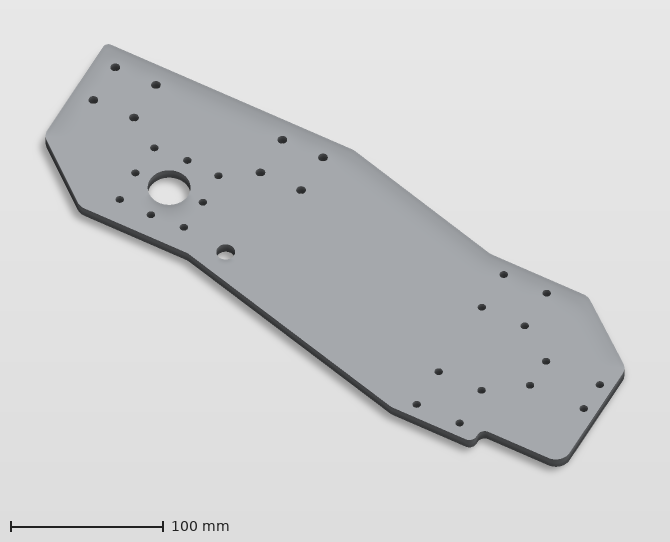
import cadquery as cq

length = 425.0
width = 172.0
thickness = 8.0

left_end_bottom = -125.5
left_chamfer_x = 48.0
left_chamfer_y = -85.5
upper_slope_start = 184.0
upper_slope_end = 302.5
lower_slope_start = 128.5
lower_slope_end = 304.7
right_end_top = -32.0
right_chamfer_x = 375.3
right_chamfer_y = -72.0
step_x = 365.0
step_y = -160.0

corner_radius = 10.0
step_radius = 5.0
top_left_radius = 4.0

mount_diameter = 6.5
small_diameter = 5.5
bore_diameter = 28.0
guide_diameter = 12.5

edge_margin = 15.0
hole_pitch = 30.0
second_mount_x = 139.0

bore_x = 92.2
bore_y = -84.0
axial_offset = 25.0
diagonal_offset = 24.0

guide_x = 149.5
guide_y = -112.5

right_column_x = 318.5
right_column_pitch = 32.0
upper_group_y = -42.5
lower_group_y = -132.0

end_group_x = 376.0
end_group_y = -91.5
end_pitch_x = 40.0
end_pitch_y = 22.0


def make_plate():
    """Extrude the outline and round its upright edges."""
    outline = [
        (0, 0),
        (upper_slope_start, 0),
        (upper_slope_end, right_end_top),
        (right_chamfer_x, right_end_top),
        (length, right_chamfer_y),
        (length, step_y),
        (step_x, step_y),
        (step_x, -width),
        (lower_slope_end, -width),
        (lower_slope_start, left_end_bottom),
        (left_chamfer_x, left_end_bottom),
        (0, left_chamfer_y),
    ]
    special_radii = {
        (0, 0): top_left_radius,
        (step_x, step_y): step_radius,
        (step_x, -width): step_radius,
    }
    plate = cq.Workplane("XY").polyline(outline).close().extrude(thickness)
    for corner in outline:
        radius = special_radii.get(corner, corner_radius)
        mid_edge = (*corner, thickness / 2)
        plate = plate.edges("|Z").edges(cq.selectors.NearestToPointSelector(mid_edge)).fillet(radius)
    return plate


def grid(left, top, pitch_x, pitch_y):
    """Four points at the corners of a rectangle."""
    return [(x, y) for x in (left, left + pitch_x) for y in (top, top - pitch_y)]


def drill(plate, points, diameter):
    """Cut round holes through the plate."""
    cutters = cq.Workplane("XY").pushPoints(points).circle(diameter / 2).extrude(thickness)
    return plate.cut(cutters)


mount_points = []
for group_x in (edge_margin, second_mount_x):
    mount_points += grid(group_x, -edge_margin, hole_pitch, hole_pitch)

small_points = [
    (bore_x - axial_offset, bore_y),
    (bore_x + axial_offset, bore_y),
    (bore_x, bore_y - axial_offset),
    (bore_x, bore_y + axial_offset),
]
small_points += grid(
    bore_x - diagonal_offset, bore_y + diagonal_offset, 2 * diagonal_offset, 2 * diagonal_offset
)

for group_y in (upper_group_y, lower_group_y):
    small_points += grid(right_column_x, group_y, right_column_pitch, hole_pitch)
small_points += grid(end_group_x, end_group_y, end_pitch_x, end_pitch_y)

result = make_plate()
result = drill(result, mount_points, mount_diameter)
result = drill(result, small_points, small_diameter)
result = drill(result, [(bore_x, bore_y)], bore_diameter)
result = drill(result, [(guide_x, guide_y)], guide_diameter)